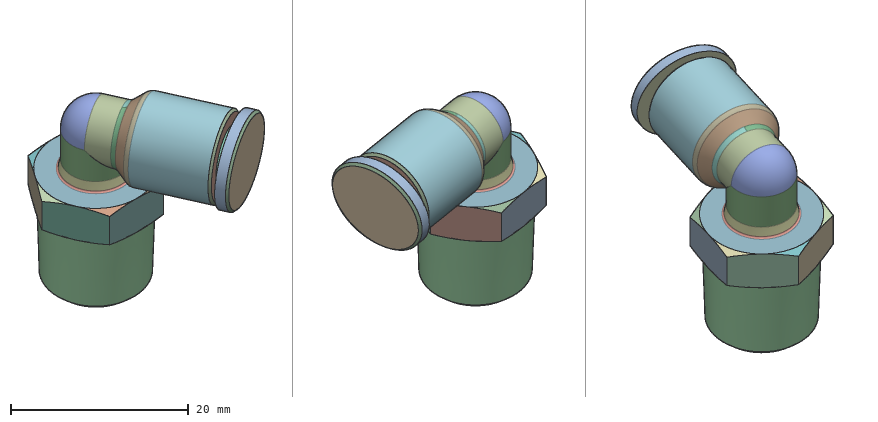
import cadquery as cq
import math


thread_length = 11.0
thread_top_radius = 6.7
thread_bottom_radius = 6.4
thread_tip_radius = 5.4
thread_tip_chamfer = thread_bottom_radius - thread_tip_radius

hex_sides = 6
hex_flats = 14.0
hex_height = 5.0
hex_corner_drop = 0.4
hex_face_radius = hex_flats / 2
hex_corner_radius = hex_face_radius / math.cos(math.pi / hex_sides)
hex_top = thread_length + hex_height

pipe_diameter = 8.0
pipe_radius = pipe_diameter / 2
collar_height = 1.4
collar_base_radius = 4.24
collar_root_fillet = 0.22
body_radius = 5.6
overall_height = 27.5
outlet_height = overall_height - body_radius

flare_start = 3.5
flare_angle = 40.0
flare_fillet = 1.0
body_end = 15.56
body_end_chamfer = 0.3
flare_end = flare_start + (body_radius - pipe_radius) / math.tan(math.radians(flare_angle))

neck_radius = 3.77
neck_end = 16.35
button_end = 17.95
button_half_width = 6.52
button_half_height = 5.5
button_chamfer = 0.3


def turned_about_z(profile):
    """Revolve (radius, z) points about the Z axis."""
    return cq.Workplane("XZ").polyline(profile).close().revolve(360, (0, 0), (0, 1))


def make_thread():
    return turned_about_z([
        (0, 0),
        (thread_tip_radius, 0),
        (thread_bottom_radius, thread_tip_chamfer),
        (thread_top_radius, thread_length),
        (0, thread_length),
    ])


def make_hex():
    """Hexagonal prism whose corners are cut back by a shallow cone at both ends."""
    prism = (
        cq.Workplane("XY", origin=(0, 0, thread_length))
        .polygon(hex_sides, 2 * hex_corner_radius)
        .extrude(hex_height)
    )
    corner_envelope = turned_about_z([
        (0, thread_length),
        (hex_face_radius, thread_length),
        (hex_corner_radius, thread_length + hex_corner_drop),
        (hex_corner_radius, hex_top - hex_corner_drop),
        (hex_face_radius, hex_top),
        (0, hex_top),
    ])
    return prism.intersect(corner_envelope)


def make_stem():
    """Upright pipe on a conical collar with a small flared root."""
    flared_radius = collar_base_radius + collar_root_fillet
    flare_top = hex_top + collar_root_fillet
    return (
        cq.Workplane("XZ")
        .moveTo(0, hex_top)
        .lineTo(flared_radius, hex_top)
        .radiusArc((collar_base_radius, flare_top), collar_root_fillet)
        .lineTo(pipe_radius, hex_top + collar_height)
        .lineTo(pipe_radius, outlet_height)
        .lineTo(0, outlet_height)
        .close()
        .revolve(360, (0, 0), (0, 1))
    )


def make_elbow_dome():
    return cq.Workplane("XY").sphere(pipe_radius).translate((0, 0, outlet_height))


def make_outlet_body():
    """Pipe that flares out to the tube socket."""
    body = (
        cq.Workplane("XZ", origin=(0, 0, outlet_height))
        .polyline([
            (0, 0),
            (0, pipe_radius),
            (flare_start, pipe_radius),
            (flare_end, body_radius),
            (body_end, body_radius),
            (body_end, 0),
        ])
        .close()
        .revolve(360, (0, 0), (1, 0))
    )
    margin = 0.15
    flare_edges = cq.selectors.BoxSelector(
        (flare_start - margin, -body_radius, outlet_height - body_radius),
        (flare_end + margin, body_radius, overall_height),
    )
    body = body.edges("%CIRCLE").edges(flare_edges).fillet(flare_fillet)
    return body.faces(">X").edges().chamfer(body_end_chamfer)


def make_button():
    neck = (
        cq.Workplane("YZ", origin=(body_end, 0, outlet_height))
        .circle(neck_radius)
        .extrude(neck_end - body_end)
    )
    flange = (
        cq.Workplane("YZ", origin=(neck_end, 0, outlet_height))
        .ellipse(button_half_width, button_half_height)
        .extrude(button_end - neck_end)
        .faces(">X").edges().chamfer(button_chamfer)
    )
    return neck.union(flange)


result = (
    make_thread()
    .union(make_hex())
    .union(make_stem())
    .union(make_elbow_dome())
    .union(make_outlet_body())
    .union(make_button())
)